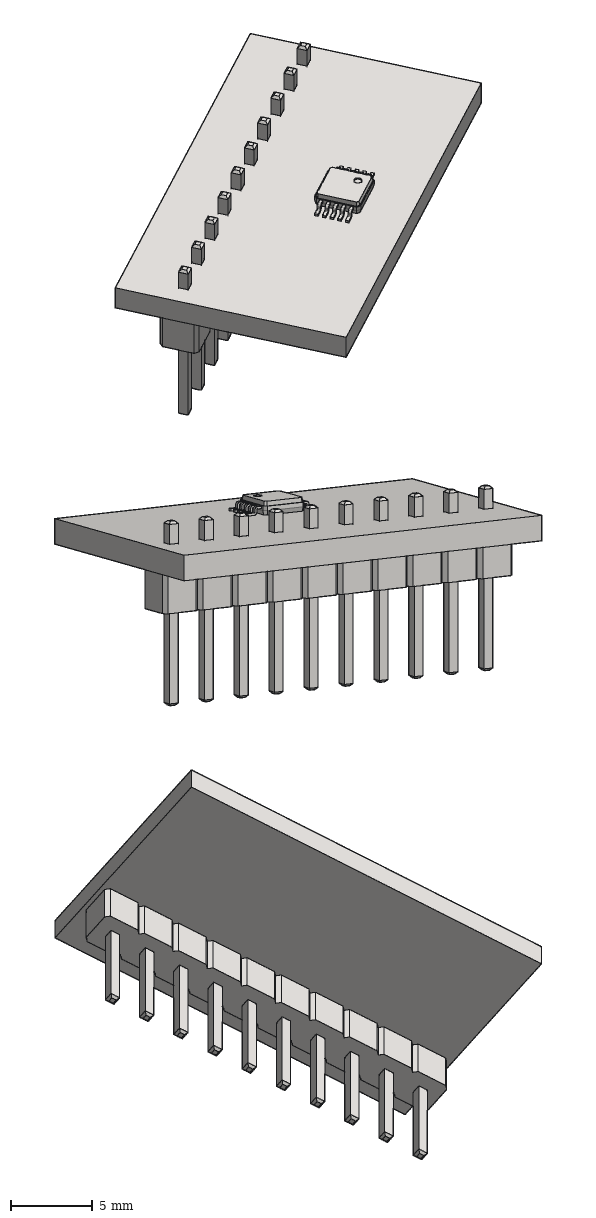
import cadquery as cq
import math

board_width = 15.0
board_length = 26.0
board_thickness = 1.6

pin_count = 10
pin_pitch = 2.54
pin_width = 0.64
pin_tip_chamfer = 0.16
pin_row_x = -3.5
strip_size = pin_pitch
strip_corner_chamfer = 0.25
pin_length_below_strip = 6.0
pin_length_above_strip = 3.0
pin_length = pin_length_below_strip + strip_size + pin_length_above_strip
pin_bottom_z = -strip_size - pin_length_below_strip
pin_positions = [
    (pin_row_x, (index - (pin_count - 1) / 2) * pin_pitch) for index in range(pin_count)
]

chip_x = 3.0
chip_y = 0.0
chip_size = 3.0
chip_corner_chamfer = 0.2
chip_height = 0.85
chip_layer_height = chip_height / 3
chip_draft_inset = 0.065
chip_upper_ledge = 0.075
marker_diameter = 0.5
marker_offset = 0.65
marker_depth = 0.1

leads_per_side = 5
lead_pitch = 0.5
lead_width = 0.22
lead_thickness = 0.15
lead_span = 4.9
lead_shoulder_top = 0.525
lead_foot_length = 0.48
lead_inner_radius = 0.05
lead_outer_radius = lead_inner_radius + lead_thickness
lead_embed = 0.2


def make_board():
    """Flat board with one square through hole for each pin."""
    blank = cq.Workplane("XY").box(
        board_width, board_length, board_thickness, centered=(True, True, False)
    )
    holes = (
        cq.Workplane("XY").pushPoints(pin_positions).rect(pin_width, pin_width).extrude(board_thickness)
    )
    return blank.cut(holes)


def make_pin(x, y):
    """Square pin with all edges of both ends chamfered."""
    return (
        cq.Workplane("XY", origin=(x, y, pin_bottom_z))
        .rect(pin_width, pin_width)
        .extrude(pin_length)
        .faces("<Z or >Z")
        .chamfer(pin_tip_chamfer)
    )


def make_strip_section(x, y):
    """Plastic block around one pin, with its four upright corners chamfered."""
    return (
        cq.Workplane("XY", origin=(x, y, -strip_size))
        .rect(strip_size, pin_pitch)
        .extrude(strip_size)
        .edges("|Z")
        .chamfer(strip_corner_chamfer)
    )


def make_header():
    """Plastic strip and its pins as one body."""
    header = cq.Workplane("XY")
    for x, y in pin_positions:
        header = header.union(make_strip_section(x, y))
        header = header.union(make_pin(x, y))
    return header


def make_chip_layer(start_z, height, setback, inset):
    """Eight-sided layer of the chip package, extruded from start_z.

    The outline starts the setback inside the full package size and narrows by
    the inset over the height. A negative height builds downward.
    """
    half = chip_size / 2
    flat = half - chip_corner_chamfer
    outline = [
        (half, -flat), (half, flat), (flat, half), (-flat, half),
        (-half, flat), (-half, -flat), (-flat, -half), (flat, -half),
    ]
    draft_angle = math.degrees(math.atan2(inset, abs(height)))
    layer = cq.Workplane("XY", origin=(0, 0, start_z)).polyline(outline).close()
    if setback > 0:
        layer = layer.offset2D(-setback)
    return layer.extrude(height, taper=draft_angle)


def make_package():
    """Package with a straight middle, drafted lower layer, set-back drafted top and pin-one dot."""
    middle_bottom = chip_layer_height
    middle_top = 2 * chip_layer_height
    lower = make_chip_layer(middle_bottom, -chip_layer_height, 0, chip_draft_inset)
    middle = make_chip_layer(middle_bottom, chip_layer_height, 0, 0)
    upper = make_chip_layer(middle_top, chip_layer_height, chip_upper_ledge, chip_draft_inset)
    marker = (
        cq.Workplane("XY", origin=(marker_offset, marker_offset, chip_height))
        .circle(marker_diameter / 2)
        .extrude(-marker_depth)
    )
    return lower.union(middle).union(upper).cut(marker)


def make_lead(x):
    """Gull-wing lead on the +Y side: shoulder, bend down, bend out, flat foot."""
    tip = lead_span / 2
    leg_outer = tip - lead_foot_length
    leg_inner = leg_outer - lead_thickness
    root = chip_size / 2 - lead_embed
    shoulder_bottom = lead_shoulder_top - lead_thickness
    diagonal = math.sqrt(0.5)
    shoulder_centre = (leg_outer - lead_outer_radius, lead_shoulder_top - lead_outer_radius)
    heel_centre = (leg_inner + lead_outer_radius, lead_outer_radius)

    def on_shoulder_bend(radius):
        return (shoulder_centre[0] + radius * diagonal, shoulder_centre[1] + radius * diagonal)

    def on_heel_bend(radius):
        return (heel_centre[0] - radius * diagonal, heel_centre[1] - radius * diagonal)

    return (
        cq.Workplane("YZ", origin=(x - lead_width / 2, 0, 0))
        .moveTo(root, lead_shoulder_top)
        .lineTo(shoulder_centre[0], lead_shoulder_top)
        .threePointArc(on_shoulder_bend(lead_outer_radius), (leg_outer, shoulder_centre[1]))
        .lineTo(leg_outer, heel_centre[1])
        .threePointArc(on_heel_bend(lead_inner_radius), (heel_centre[0], lead_thickness))
        .lineTo(tip, lead_thickness)
        .lineTo(tip, 0)
        .lineTo(heel_centre[0], 0)
        .threePointArc(on_heel_bend(lead_outer_radius), (leg_inner, heel_centre[1]))
        .lineTo(leg_inner, shoulder_centre[1])
        .threePointArc(on_shoulder_bend(lead_inner_radius), (shoulder_centre[0], shoulder_bottom))
        .lineTo(root, shoulder_bottom)
        .close()
        .extrude(lead_width)
    )


def make_chip():
    """Package and its two rows of leads as one body, resting on the board."""
    chip = make_package()
    for index in range(leads_per_side):
        lead = make_lead((index - (leads_per_side - 1) / 2) * lead_pitch)
        chip = chip.union(lead).union(lead.mirror("XZ"))
    return chip.translate((chip_x, chip_y, board_thickness))


board = make_board()
header = make_header()
chip = make_chip()

result = cq.Compound.makeCompound([board.val(), header.val(), chip.val()])